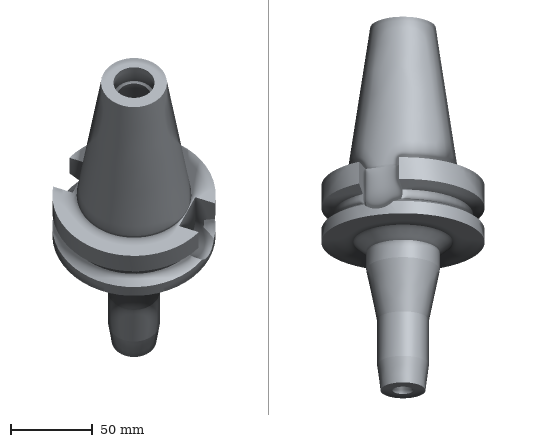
import cadquery as cq

total_height = 236.8
nose_top = 16.5
neck_top = 45.7
shank_bottom = 78.5
shank_top = 90.0
flange_bottom = 96.9
flange_top = 133.5
gauge_height = 135.0

nose_radius = 13.7
neck_radius = 15.9
shank_radius = 22.5
collar_radius = 30.5
flange_radius = 50.0
groove_radius = 42.9
gauge_radius = 35.0
taper_end_radius = 20.1

groove_bottom = 105.0
groove_top = 119.3
groove_wall_height = 4.3

slot_width = 25.5
slot_bottom = 100.9
slot_floor_x = 35.3

drawbar_radius = 12.5
drawbar_depth = 12.5
thread_radius = 10.5
thread_depth = 30.8
relief_radius = 9.5
relief_depth = 38.0
through_radius = 6.5


def make_body():
    """Revolve the outer outline, given as (radius, height) pairs, around Z."""
    outline = [
        (0, 0),
        (nose_radius, 0),
        (neck_radius, nose_top),
        (neck_radius, neck_top),
        (shank_radius, shank_bottom),
        (shank_radius, shank_top),
        (collar_radius, flange_bottom),
        (flange_radius, flange_bottom),
        (flange_radius, groove_bottom),
        (groove_radius, groove_bottom + groove_wall_height),
        (groove_radius, groove_top - groove_wall_height),
        (flange_radius, groove_top),
        (flange_radius, flange_top),
        (gauge_radius, flange_top),
        (gauge_radius, gauge_height),
        (taper_end_radius, total_height),
        (0, total_height),
    ]
    return cq.Workplane("XZ").polyline(outline).close().revolve(360, (0, 0), (0, 1))


def make_slot(side):
    """Round-bottomed drive slot, open at the flange top; side is -1 or +1 along X."""
    half_width = slot_width / 2
    arc_center = slot_bottom + half_width
    return (
        cq.Workplane("YZ", origin=(side * slot_floor_x, 0, 0))
        .moveTo(-half_width, flange_top)
        .lineTo(-half_width, arc_center)
        .threePointArc((0, slot_bottom), (half_width, arc_center))
        .lineTo(half_width, flange_top)
        .close()
        .extrude(side * flange_radius)
    )


def make_bore(radius, depth):
    """Round hole sunk from the taper end."""
    return cq.Workplane("XY", origin=(0, 0, total_height)).circle(radius).extrude(-depth)


result = make_body()

for side in (-1, 1):
    result = result.cut(make_slot(side))

bore_steps = [
    (drawbar_radius, drawbar_depth),
    (thread_radius, thread_depth),
    (relief_radius, relief_depth),
    (through_radius, total_height),
]
for radius, depth in bore_steps:
    result = result.cut(make_bore(radius, depth))